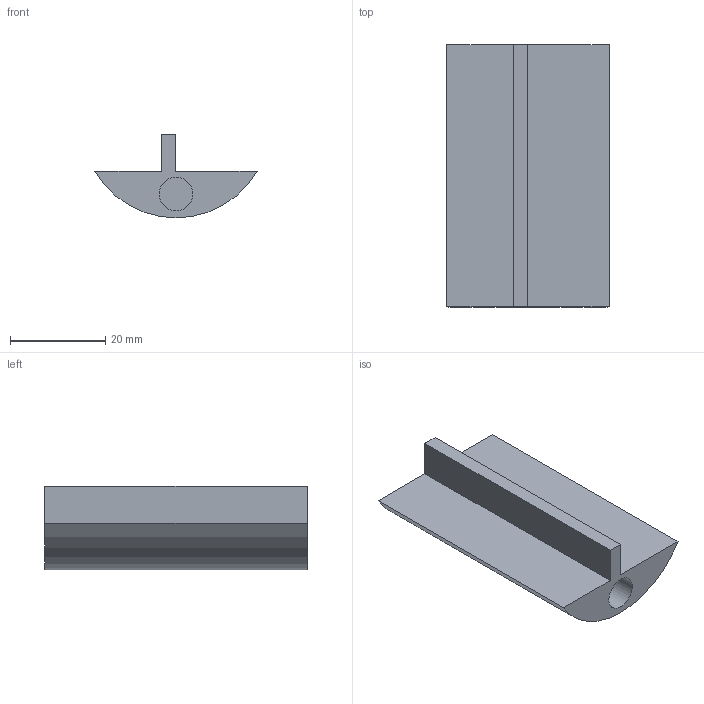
import cadquery as cq

length = 55.0
chord_width = 34.06
segment_height = 9.75
total_height = 17.55
rib_width = 3.0
rib_offset = 0.1
hole_diameter = 7.0
hole_center_depth = 4.75
hole_depth = 30.0

half_chord = chord_width / 2
rib_height = total_height - segment_height


def extrude_along_y(sketch, depth):
    """Extrude an XZ sketch from the -Y end at Y = 0 toward +Y."""
    return sketch.extrude(-depth)


def make_body():
    """Circular-segment bar with its flat face upward."""
    sketch = (
        cq.Workplane("XZ")
        .moveTo(-half_chord, 0)
        .threePointArc((0, -segment_height), (half_chord, 0))
        .close()
    )
    return extrude_along_y(sketch, length)


def make_rib():
    """Full-length upright rib, rooted on the flat face."""
    sketch = cq.Workplane("XZ").moveTo(-rib_offset - rib_width, 0).hLine(rib_width)
    sketch = sketch.vLine(rib_height).hLine(-rib_width).close()
    return extrude_along_y(sketch, length)


def make_hole():
    """Blind round bore on the centre plane."""
    sketch = cq.Workplane("XZ").center(0, -hole_center_depth).circle(hole_diameter / 2)
    return extrude_along_y(sketch, hole_depth)


result = make_body().union(make_rib()).cut(make_hole())